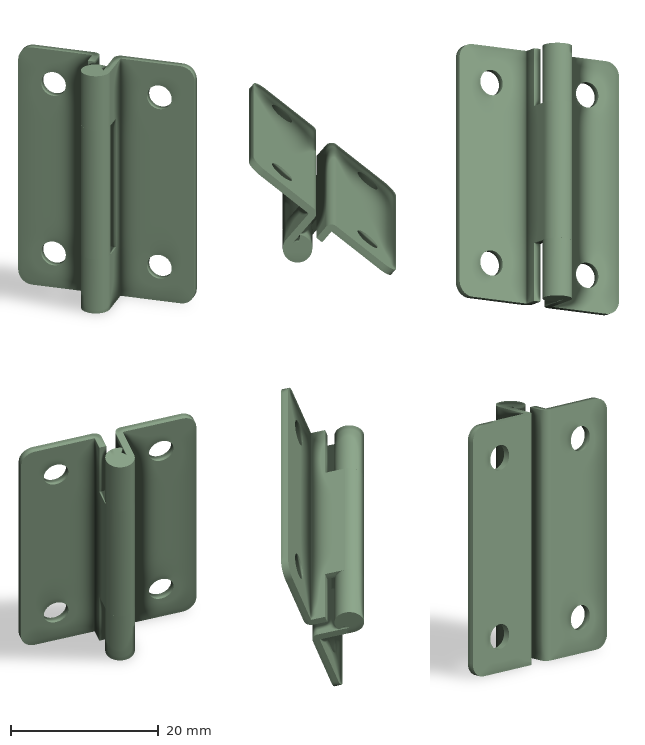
import cadquery as cq
import math


hinge_width = 25.0
hinge_height = 35.0
sheet = 1.0
pin_radius = 1.0
axis_to_back = 5.8
bend_radius = 1.0
corner_radius = 2.0
hole_diameter = 3.5
hole_inset = 5.0
end_knuckle_length = 8.0
notch_from_back = 3.0
curl_gap_angle = 61.0

half_width = hinge_width / 2
half_height = hinge_height / 2
knuckle_radius = pin_radius + sheet
front_of_plate = axis_to_back - sheet
notch_edge = axis_to_back - notch_from_back
middle_knuckle_length = hinge_height - 2 * end_knuckle_length
hole_x = half_width - hole_inset
hole_z = half_height - hole_inset


def on_circle(radius, degrees):
    """Point at an angle on a circle around the pin axis."""
    angle = math.radians(degrees)
    return (radius * math.cos(angle), radius * math.sin(angle))


def plate():
    """Flat plate on the +X side with rounded outer corners and two screw holes."""
    body = cq.Workplane("XY").box(
        half_width - pin_radius, sheet, hinge_height, centered=(False, False, True)
    ).translate((pin_radius, front_of_plate, 0))
    body = body.edges("|Y and >X").fillet(corner_radius)
    holes = (
        cq.Workplane("XZ", origin=(0, axis_to_back, 0))
        .pushPoints([(hole_x, -hole_z), (hole_x, hole_z)])
        .circle(hole_diameter / 2)
        .extrude(sheet)
    )
    return body.cut(holes)


def full_height_web():
    """Part of the web beside the plate that runs the whole height of the hinge."""
    return cq.Workplane("XY").box(
        sheet, axis_to_back - notch_edge, hinge_height, centered=(False, False, True)
    ).translate((pin_radius, notch_edge, 0))


def knuckle(bottom, length):
    """Web stretch and the curl that wraps from it around the pin."""
    mid_angle = (curl_gap_angle - 360) / 2
    return (
        cq.Workplane("XY", origin=(0, 0, bottom))
        .moveTo(knuckle_radius, notch_edge)
        .lineTo(knuckle_radius, 0)
        .threePointArc(on_circle(knuckle_radius, mid_angle), on_circle(knuckle_radius, curl_gap_angle))
        .lineTo(*on_circle(pin_radius, curl_gap_angle))
        .threePointArc(on_circle(pin_radius, mid_angle), (pin_radius, 0))
        .lineTo(pin_radius, notch_edge)
        .close()
        .extrude(length)
    )


def leaf(knuckle_spans):
    """One leaf on the +X side with a knuckle for each (bottom, length) span."""
    body = plate().union(full_height_web())
    body = body.edges(">Y and <X").fillet(bend_radius)
    for bottom, length in knuckle_spans:
        body = body.union(knuckle(bottom, length))
    return body


end_leaf = leaf([
    (-half_height, end_knuckle_length),
    (half_height - end_knuckle_length, end_knuckle_length),
])

middle_leaf = leaf([(-middle_knuckle_length / 2, middle_knuckle_length)]).mirror("YZ")

pin = cq.Workplane("XY", origin=(0, 0, -half_height)).circle(pin_radius).extrude(hinge_height)

result = cq.Compound.makeCompound([
    end_leaf.solids().val(),
    middle_leaf.solids().val(),
    pin.val(),
])